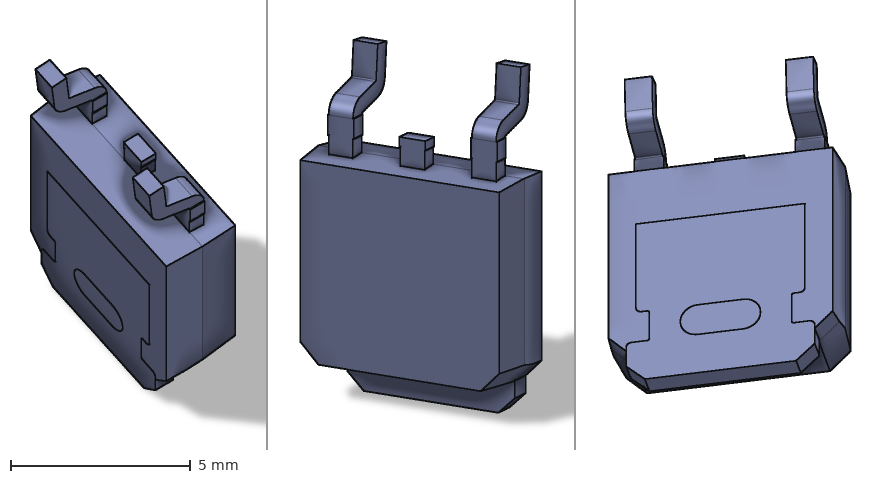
import cadquery as cq
import math


DRAFT = 5.0

BODY_WIDTH = 6.6
BODY_TOP = 7.11
BODY_BACK = 1.21
BODY_FRONT = 1.17
BODY_FOOT = 0.99
FOOT_HALF_WIDTH = 2.67

TAB_THICKNESS = 0.62
TAB_BACK_Y = TAB_THICKNESS - BODY_FRONT
TAB_TOP = 5.24
TAB_UPPER_HALF = 2.41
TAB_LOWER_HALF = 2.69
TAB_FOOT_HALF = 2.16
TAB_CHAMFER_HEIGHT = 0.5
WAIST_HALF = 2.03
WAIST_BOTTOM = 1.28
WAIST_TOP = 2.28
SHOULDER_RADIUS = 0.15
NOTCH_RADIUS = 0.07
SLOT_LENGTH = 2.29

LEAD_THICKNESS = 0.5
LEAD_WIDTH = 0.78
LEAD_OFFSET = 2.3
LEAD_EMBED = LEAD_THICKNESS
LEAD_ROOT = BODY_TOP - LEAD_EMBED
DAMBAR_WIDTH = 0.84
DAMBAR_BOTTOM = 7.62
DAMBAR_TOP = 8.21
CENTRE_LEAD_TOP = 7.9
LEAD_TOP = 10.03
BEND_RADIUS = 0.05
SLOPE_LENGTH = 0.88
SLOPE_ANGLE = 15.0
TOE_ANGLE = 5.0


def prism(outline, y_front, y_back):
    """Extrude a closed XZ outline between two Y positions."""
    return outline.extrude(y_back - y_front).translate((0, y_back, 0))


def mirrored_outline(right_side):
    """Close an XZ outline from the points of its right half, listed from bottom to top."""
    left_side = [(-x, z) for x, z in reversed(right_side)]
    return cq.Workplane("XZ").polyline(right_side + left_side).close()


def make_body_blank():
    """Body before the pockets: two drafted halves, trimmed at the chamfered lower end."""
    half_width = BODY_WIDTH / 2
    section = [(half_width, 0), (half_width, BODY_TOP)]
    front_half = mirrored_outline(section).extrude(BODY_FRONT, taper=DRAFT)
    back_half = mirrored_outline(section).extrude(-BODY_BACK, taper=DRAFT)

    clear_half = BODY_WIDTH
    corner_z = BODY_FOOT + clear_half - FOOT_HALF_WIDTH
    trim = [(FOOT_HALF_WIDTH, BODY_FOOT), (clear_half, corner_z), (clear_half, 2 * BODY_TOP)]
    straight_trim = prism(mirrored_outline(trim), -BODY_FRONT, TAB_BACK_Y)
    drafted_trim = mirrored_outline(trim).extrude(TAB_BACK_Y - BODY_BACK, taper=DRAFT)
    drafted_trim = drafted_trim.translate((0, TAB_BACK_Y, 0))
    return front_half.union(back_half).intersect(straight_trim.union(drafted_trim))


def round_corners(plate, half_width, z, radius):
    """Round the two mirrored corners of the tab plate at the given half width and height."""
    middle_y = (TAB_BACK_Y - BODY_FRONT) / 2
    right_edge = cq.selectors.NearestToPointSelector((half_width, middle_y, z))
    left_edge = cq.selectors.NearestToPointSelector((-half_width, middle_y, z))
    return plate.edges("|Y").edges(right_edge + left_edge).fillet(radius)


def make_tab():
    """Flat tab with a chamfered foot, two side notches and a slot."""
    right_side = [
        (TAB_FOOT_HALF, 0),
        (TAB_LOWER_HALF, TAB_CHAMFER_HEIGHT),
        (TAB_LOWER_HALF, WAIST_BOTTOM),
        (WAIST_HALF, WAIST_BOTTOM),
        (WAIST_HALF, WAIST_TOP),
        (TAB_UPPER_HALF, WAIST_TOP),
        (TAB_UPPER_HALF, TAB_TOP),
    ]
    tab = prism(mirrored_outline(right_side), -BODY_FRONT, TAB_BACK_Y)

    for z, half_width in ((WAIST_BOTTOM, TAB_LOWER_HALF), (WAIST_TOP, TAB_UPPER_HALF)):
        tab = round_corners(tab, half_width, z, SHOULDER_RADIUS)
        tab = round_corners(tab, WAIST_HALF, z, NOTCH_RADIUS)

    slot_z = (WAIST_BOTTOM + WAIST_TOP) / 2
    slot = cq.Workplane("XZ").center(0, slot_z).slot2D(SLOT_LENGTH, WAIST_TOP - WAIST_BOTTOM)
    return tab.cut(prism(slot, -BODY_FRONT, TAB_BACK_Y))


def lead_bar(width, bottom, top):
    """Straight stretch of a lead on the centre line, lying on the parting plane."""
    bar = cq.Workplane("XY").box(width, LEAD_THICKNESS, top - bottom, centered=(True, False, False))
    return bar.translate((0, 0, bottom))


def make_centre_lead():
    """Cropped lead with a wider end."""
    shank = lead_bar(LEAD_WIDTH, LEAD_ROOT, DAMBAR_BOTTOM)
    return shank.union(lead_bar(DAMBAR_WIDTH, DAMBAR_BOTTOM, CENTRE_LEAD_TOP))


def offset(point, angle, distance):
    """Move a YZ point by a distance at an angle from +Y towards +Z, in degrees."""
    turn = math.radians(angle)
    return (point[0] + distance * math.cos(turn), point[1] + distance * math.sin(turn))


def bend_arc(centre, start_angle, end_angle, radius):
    """Start, middle and end points of a bend in the YZ plane."""
    angles = (start_angle, (start_angle + end_angle) / 2, end_angle)
    return [offset(centre, angle, radius) for angle in angles]


def make_formed_lead():
    """Lead bent forward along a gentle slope, then up again to the soldered toe."""
    slope_direction = 180 - SLOPE_ANGLE
    toe_direction = 90 + TOE_ANGLE
    slope_normal = slope_direction - 90
    toe_normal = toe_direction - 270
    outer_radius = BEND_RADIUS + LEAD_THICKNESS

    lower_centre = (-BEND_RADIUS, DAMBAR_TOP)
    slope_start = offset(lower_centre, slope_normal, outer_radius + BEND_RADIUS)
    upper_centre = offset(slope_start, slope_direction, SLOPE_LENGTH)
    lower_outer = bend_arc(lower_centre, 0, slope_normal, outer_radius)
    lower_inner = bend_arc(lower_centre, slope_normal, 0, BEND_RADIUS)
    upper_inner = bend_arc(upper_centre, slope_normal - 180, toe_normal, BEND_RADIUS)
    upper_outer = bend_arc(upper_centre, toe_normal, slope_normal - 180, outer_radius)

    toe_length = (LEAD_TOP - upper_inner[-1][1]) / math.cos(math.radians(TOE_ANGLE))
    toe_back = offset(upper_inner[-1], toe_direction, toe_length)
    toe_front = offset(toe_back, toe_normal, LEAD_THICKNESS)

    lead = (
        cq.Workplane("YZ")
        .moveTo(0, LEAD_ROOT)
        .lineTo(LEAD_THICKNESS, LEAD_ROOT)
        .lineTo(*lower_outer[0])
        .threePointArc(*lower_outer[1:])
        .lineTo(*upper_inner[0])
        .threePointArc(*upper_inner[1:])
        .lineTo(*toe_back)
        .lineTo(*toe_front)
        .lineTo(*upper_outer[0])
        .threePointArc(*upper_outer[1:])
        .lineTo(*lower_inner[0])
        .threePointArc(*lower_inner[1:])
        .close()
        .extrude(LEAD_WIDTH / 2, both=True)
    )
    return lead.union(lead_bar(DAMBAR_WIDTH, DAMBAR_BOTTOM, DAMBAR_TOP))


tab = make_tab()
centre_lead = make_centre_lead()
formed_leads = [make_formed_lead().translate((side * LEAD_OFFSET, 0, 0)) for side in (-1, 1)]

body = make_body_blank()
for insert in (tab, centre_lead, *formed_leads):
    body = body.cut(insert)

result = cq.Compound.makeCompound(
    [body.val(), tab.val(), centre_lead.val(), *[lead.val() for lead in formed_leads]]
)